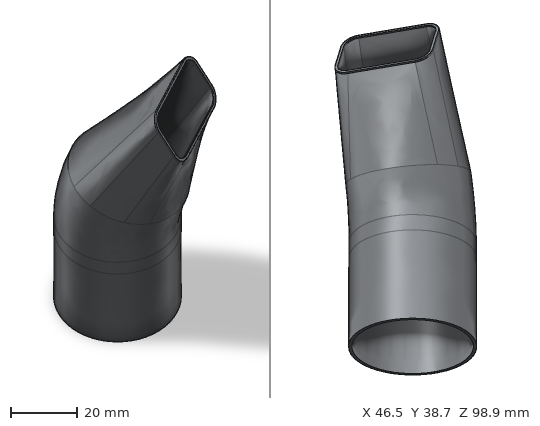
import cadquery as cq
import math

base_radius = 19.36
collar_radius = 19.3
socket_height = 29.8
collar_top = 35.0

bend_middle = (0.9, 44.9, 8)
bend_end = (3.7, 55.0, 15.6)
bend_end_radius = 19.0

outlet_x = 22.2
outlet_tilt = 60
outlet_depth = 19.8
outlet_width = 31.7
outlet_corner = 5
total_height = 99
outlet_z = total_height - outlet_depth / 2 * math.sin(math.radians(outlet_tilt))

lip_height = 0.5
lip_draft = 10
wall = 1
bore_overrun = 1


def tilted_plane(x, z, tilt):
    """Section plane on the XZ centre plane, its normal leaning toward +X."""
    angle = math.radians(tilt)
    x_direction = (math.cos(angle), 0, -math.sin(angle))
    normal = (math.sin(angle), 0, math.cos(angle))
    return cq.Plane(origin=(x, 0, z), xDir=x_direction, normal=normal)


def circle_wire(plane, radius):
    return cq.Workplane(plane).circle(radius).val()


def tangent_points(inset):
    """Ends of the straight sides of the outlet, anticlockwise."""
    half_x = outlet_depth / 2 - inset
    half_y = outlet_width / 2 - inset
    flat_x = outlet_depth / 2 - outlet_corner
    flat_y = outlet_width / 2 - outlet_corner
    return [
        (half_x, -flat_y), (half_x, flat_y), (flat_x, half_y), (-flat_x, half_y),
        (-half_x, flat_y), (-half_x, -flat_y), (-flat_x, -half_y), (flat_x, -half_y),
    ]


def outlet_sketch(plane, inset):
    """Rounded rectangle made of alternating straight sides and corner arcs."""
    points = tangent_points(inset)
    radius = outlet_corner - inset
    sketch = cq.Workplane(plane).moveTo(*points[0])
    for index in range(1, len(points), 2):
        sketch = sketch.lineTo(*points[index])
        following = points[(index + 1) % len(points)]
        sketch = sketch.radiusArc(following, -radius)
    return sketch.close()


def split_circle(plane, radius):
    """Circle split where rays through the outlet tangent points cross it."""
    angles = [math.atan2(y, x) for x, y in tangent_points(0)]
    angles.append(angles[0] + 2 * math.pi)

    def on_circle(angle):
        return (radius * math.cos(angle), radius * math.sin(angle))

    sketch = cq.Workplane(plane).moveTo(*on_circle(angles[0]))
    for start, end in zip(angles, angles[1:]):
        sweep = (end - start) % (2 * math.pi)
        sketch = sketch.threePointArc(on_circle(start + sweep / 2), on_circle(end))
    return sketch.close()


def socket(inset):
    profile = [
        (0, 0), (base_radius - inset, 0), (collar_radius - inset, socket_height),
        (collar_radius - inset, collar_top), (0, collar_top),
    ]
    return cq.Workplane("XZ").polyline(profile).close().revolve(360, (0, 0), (0, 1))


def bend(inset):
    middle_radius = (collar_radius + bend_end_radius) / 2
    wires = [
        circle_wire(tilted_plane(0, collar_top, 0), collar_radius - inset),
        circle_wire(tilted_plane(*bend_middle), middle_radius - inset),
        circle_wire(tilted_plane(*bend_end), bend_end_radius - inset),
    ]
    return cq.Workplane(cq.Solid.makeLoft(wires))


outlet_plane = tilted_plane(outlet_x, outlet_z, outlet_tilt)
lip_plane = cq.Plane(
    origin=outlet_plane.origin - outlet_plane.zDir * lip_height,
    xDir=outlet_plane.xDir,
    normal=outlet_plane.zDir,
)


def nozzle(inset):
    lower = split_circle(tilted_plane(*bend_end), bend_end_radius - inset).val()
    upper = outlet_sketch(lip_plane, inset).val()
    return cq.Workplane(cq.Solid.makeLoft([lower, upper], True))


def body(inset):
    return socket(inset).union(bend(inset)).union(nozzle(inset))


lip = outlet_sketch(lip_plane, 0).extrude(lip_height, taper=lip_draft)
lip_opening = outlet_sketch(lip_plane, wall).extrude(lip_height + bore_overrun)
result = body(0).union(lip).cut(body(wall)).cut(lip_opening)